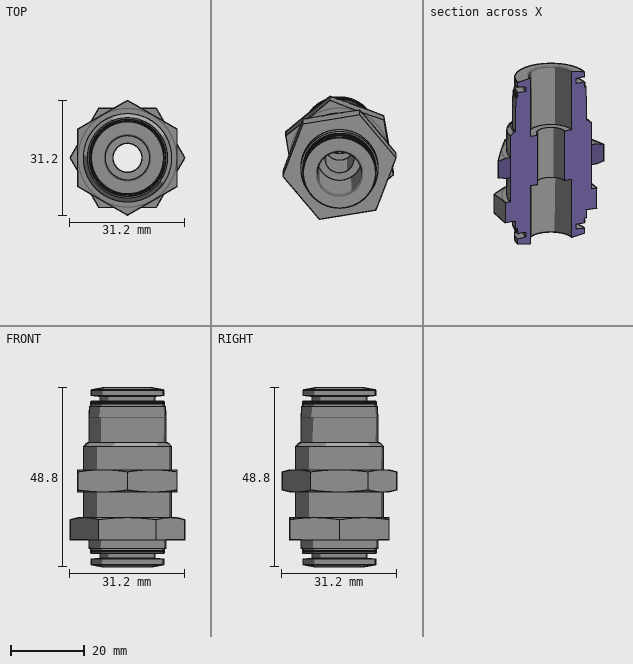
import cadquery as cq
import math

length = 48.8
bore_diameter = 7.8
socket_diameter = 12.0
socket_depth = 17.1
socket_lip_radius = 0.3

collar_diameter = 19.8
collar_edge_height = 0.65
collar_edge_bevel = 0.15
collar_rim_end = 2.2
collar_back_end = 2.45
neck_diameter = 15.0
neck_end = 3.65

ring_diameter = 20.0
ring_bevel = 0.25
ring_end = 5.1
groove_depth = 0.25
groove_width = 0.3
groove_offset = 0.6

barrel_diameter = 21.0
taper_diameter = 20.65
taper_length = 3.05
shoulder_diameter = 21.8
shoulder_z = 33.8
thread_diameter = 24.0
shoulder_chamfer = (thread_diameter - shoulder_diameter) / 2

hex_corners = 31.2
hex_height = 6.05
hex_face_diameter = 26.8
hex_chamfer_angle = 15.0
flange_z = 7.4
nut_z = 20.4


def end_profile():
    """Radius and distance from the tip, running inward from the tip to the end of the ring."""
    collar_r = collar_diameter / 2
    neck_r = neck_diameter / 2
    ring_r = ring_diameter / 2
    groove_start = neck_end + groove_offset
    groove_middle = groove_start + groove_width / 2
    groove_end = groove_start + groove_width
    return [
        (socket_diameter / 2 + socket_lip_radius, 0),
        (collar_r - collar_edge_bevel, collar_edge_height),
        (collar_r, collar_edge_height + collar_edge_bevel),
        (collar_r, collar_rim_end),
        (neck_r, collar_back_end),
        (neck_r, neck_end),
        (ring_r - ring_bevel, neck_end),
        (ring_r, neck_end + ring_bevel),
        (ring_r, groove_start),
        (ring_r - groove_depth, groove_middle),
        (ring_r, groove_end),
        (ring_r, ring_end),
    ]


def socket_profile():
    """Radius and distance from the tip, running outward from the bore to the rounded lip."""
    return [
        (bore_diameter / 2, socket_depth),
        (socket_diameter / 2, socket_depth),
        (socket_diameter / 2, socket_lip_radius),
    ]


def lip_middle():
    """Radius and distance from the tip of the point halfway round the quarter-circle lip."""
    inset = socket_lip_radius * (1 - math.sqrt(0.5))
    return (socket_diameter / 2 + inset, inset)


def from_top(points):
    """Mirror points measured from the bottom tip so that they start at the top tip."""
    return [(r, length - z) for r, z in points]


def hexagon(z, corner_angle, chamfer_bottom):
    """Hexagonal prism whose corners are turned off by a shallow cone at one or both ends."""
    corner_r = hex_corners / 2
    face_r = hex_face_diameter / 2
    drop = (corner_r - face_r) * math.tan(math.radians(hex_chamfer_angle))
    prism = (
        cq.Workplane("XY", origin=(0, 0, z))
        .polygon(6, hex_corners)
        .extrude(hex_height)
        .rotate((0, 0, 0), (0, 0, 1), corner_angle)
    )
    top = z + hex_height
    lower_edge = [(face_r, z), (corner_r, z + drop)] if chamfer_bottom else [(corner_r, z)]
    outline = [(0, z), *lower_edge, (corner_r, top - drop), (face_r, top), (0, top)]
    envelope = cq.Workplane("XZ").polyline(outline).close().revolve(360, (0, 0), (0, 1))
    return prism.intersect(envelope)


def make_body():
    """Turned body with both collars, stepped bore, rounded socket lips and fixed hexagonal flange."""
    barrel_r = barrel_diameter / 2
    thread_r = thread_diameter / 2
    flange_middle = flange_z + hex_height / 2
    ring_top = length - ring_end
    middle = [
        (barrel_r, ring_end),
        (barrel_r, flange_middle),
        (thread_r, flange_middle),
        (thread_r, shoulder_z - shoulder_chamfer),
        (shoulder_diameter / 2, shoulder_z),
        (barrel_r, shoulder_z),
        (barrel_r, ring_top - taper_length),
        (taper_diameter / 2, ring_top),
    ]
    outside = [
        *end_profile(),
        *middle,
        *reversed(from_top(end_profile())),
    ]
    upper_socket = list(reversed(from_top(socket_profile())))
    upper_lip_middle = from_top([lip_middle()])[0]
    turned = (
        cq.Workplane("XZ")
        .polyline(socket_profile())
        .threePointArc(lip_middle(), outside[0])
        .polyline(outside[1:], includeCurrent=True)
        .threePointArc(upper_lip_middle, upper_socket[0])
        .polyline(upper_socket[1:], includeCurrent=True)
        .close()
        .revolve(360, (0, 0), (0, 1))
    )
    core = cq.Workplane("XY", origin=(0, 0, flange_z)).circle(barrel_r).extrude(hex_height)
    flange = hexagon(flange_z, 0, chamfer_bottom=False).cut(core)
    return turned.union(flange)


def make_nut():
    """Loose hexagonal nut, turned 30 degrees from the flange and fitted on the thread."""
    hole = cq.Workplane("XY", origin=(0, 0, nut_z)).circle(thread_diameter / 2).extrude(hex_height)
    return hexagon(nut_z, 30, chamfer_bottom=True).cut(hole)


body = make_body()
nut = make_nut()

result = cq.Compound.makeCompound([body.val(), nut.val()])